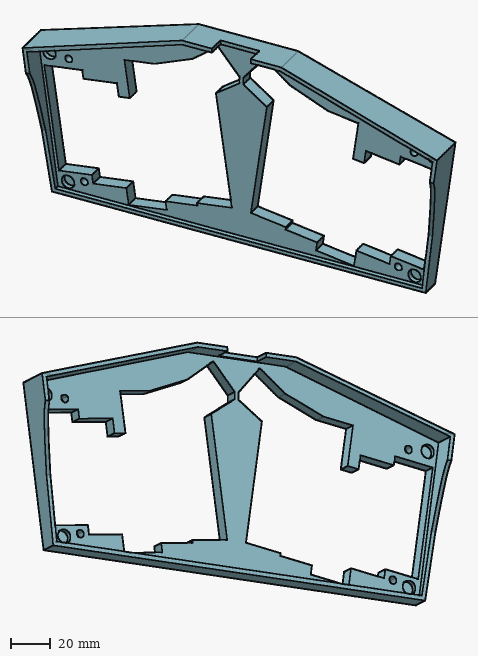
import cadquery as cq
import math

width = 235.36
height = 114.53
depth = 20.0
shoulder_height = 86.0
top_edge_width = 56.4
bottom_edge_width = 212.2
rim_thickness = 2.3
plate_thickness = 7.5

rim_depth_top = 18.2
rim_depth_bottom = 10.25
sweep_start_depth = 12.1
sweep_start_height = 36.0
sweep_end_height = 72.0
sweep_middle = [(14.28, 50.9), (16.4, 62.3), (18.5, 69.2)]

notch_width = 22.0
notch_floor_depth = 9.0

tilt = math.radians(8)

column_pitch = 19.05
outer_edge = -100.9
lower_step_1 = -82.0
lower_step_2 = lower_step_1 + column_pitch
lower_step_3 = -41.15
lower_step_4 = -23.0
upper_step_1 = -79.2
upper_step_2 = -60.0
tab_inner_edge = -53.65
spine_edge = -2.95
roof_end = -36.4

row_span = 59.95
outer_floor = 25.9
middle_floor = 21.0
deep_floor = 11.5
inner_floor = 16.4
spine_foot = 17.85
spine_shoulder = 83.0
outer_ceiling = outer_floor + row_span
middle_ceiling = middle_floor + row_span
tab_bottom = 73.35
roof = 95.15
roof_bend_along = -13.7
roof_bend_up = 101.05

neck_width = 2.2
neck_bottom = 91.3
neck_top = 95.1
peak_x = 13.25
peak_z = 109.4

large_hole_diameter = 7.2
large_hole_depth = 3.0
large_hole_places = [(-96.9, 93.4), (-96.5, 20.1)]
small_hole_diameter = 4.0
small_hole_depth = 6.0
small_hole_places = [(-86.1, 91.4), (-87.0, 21.4)]


def from_tilted(place):
    """X and Z of an (along, up) place on the tilted axes of the left half."""
    along, up = place
    x = along * math.cos(tilt) - up * math.sin(tilt)
    z = along * math.sin(tilt) + up * math.cos(tilt)
    return x, z


def make_outline():
    """Six-sided outer outline of the frame in the XZ plane."""
    return cq.Workplane("XZ").polyline([
        (-bottom_edge_width / 2, 0),
        (bottom_edge_width / 2, 0),
        (width / 2, shoulder_height),
        (top_edge_width / 2, height),
        (-top_edge_width / 2, height),
        (-width / 2, shoulder_height),
    ]).close()


def make_side_profile():
    """Depth profile of the rim, swept across the full width."""
    sweep_points = [(-y, z) for y, z in sweep_middle] + [(-depth, sweep_end_height)]
    return (
        cq.Workplane("YZ")
        .moveTo(0, 0)
        .lineTo(-rim_depth_bottom, 0)
        .lineTo(-sweep_start_depth, sweep_start_height)
        .spline(sweep_points, includeCurrent=True)
        .lineTo(-depth, shoulder_height)
        .lineTo(-rim_depth_top, height)
        .lineTo(0, height)
        .close()
        .extrude(width / 2, both=True)
    )


def make_notch():
    """Cutter that opens the front of the top rim."""
    block = cq.Workplane("XY").box(notch_width, depth, 2 * rim_thickness)
    return block.translate((0, -notch_floor_depth - depth / 2, height))


def make_rim():
    """Wall around the outline, shaped to the side profile and notched."""
    inside = make_outline().offset2D(-rim_thickness, "intersection").extrude(depth)
    wall = make_outline().extrude(depth).cut(inside)
    return wall.intersect(make_side_profile()).cut(make_notch())


def make_window():
    """Cutter for the stepped window in the left half of the plate."""
    lower_places = [
        (outer_edge, outer_floor),
        (lower_step_1, outer_floor),
        (lower_step_1, middle_floor),
        (lower_step_2, middle_floor),
        (lower_step_2, deep_floor),
        (lower_step_3, deep_floor),
        (lower_step_3, inner_floor),
        (lower_step_4, inner_floor),
        (lower_step_4, spine_foot),
        (spine_edge, spine_foot),
        (spine_edge, spine_shoulder),
    ]
    neck_points = [
        (-neck_width / 2, neck_bottom),
        (-neck_width / 2, neck_top),
        (-peak_x, peak_z),
    ]
    upper_places = [
        (roof_bend_along, roof_bend_up),
        (roof_end, roof),
        (tab_inner_edge, roof),
        (tab_inner_edge, tab_bottom),
        (upper_step_2, tab_bottom),
        (upper_step_2, middle_ceiling),
        (upper_step_1, middle_ceiling),
        (upper_step_1, outer_ceiling),
        (outer_edge, outer_ceiling),
    ]
    lower_points = [from_tilted(place) for place in lower_places]
    upper_points = [from_tilted(place) for place in upper_places]
    points = lower_points + neck_points + upper_points
    return cq.Workplane("XZ").polyline(points).close().extrude(plate_thickness)


def make_holes(places, diameter, hole_depth):
    """Cutter for blind holes going in from the plate front."""
    hole_floor = cq.Workplane("XZ", origin=(0, hole_depth - plate_thickness, 0))
    centers = [from_tilted(place) for place in places]
    return hole_floor.pushPoints(centers).circle(diameter / 2).extrude(hole_depth)


def make_plate():
    """Back plate with the window and holes cut in both mirrored halves."""
    plate = make_outline().extrude(plate_thickness)
    left_cutters = [
        make_window(),
        make_holes(large_hole_places, large_hole_diameter, large_hole_depth),
        make_holes(small_hole_places, small_hole_diameter, small_hole_depth),
    ]
    for cutter in left_cutters:
        plate = plate.cut(cutter).cut(cutter.mirror("YZ"))
    return plate


result = make_plate().union(make_rim())